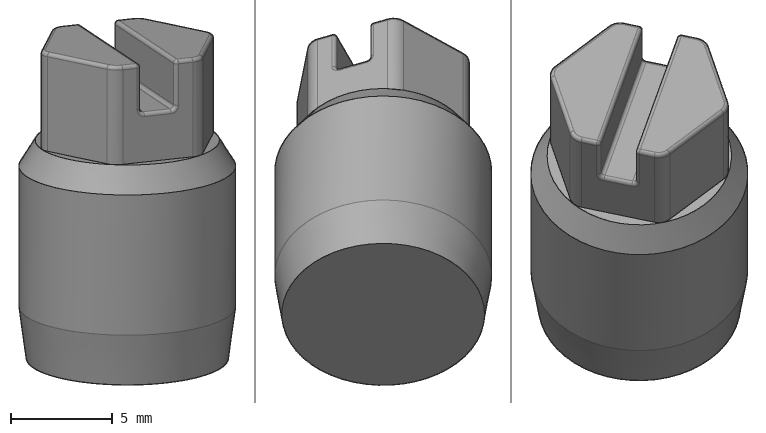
import cadquery as cq
import math

total_height = 16.11
body_radius = 5.33
shoulder_radius = 4.53
base_radius = 4.98
taper_height = 2.65
chamfer_start = 9.8
hex_height = 5.01
shoulder_height = total_height - hex_height

hex_sides = 6
across_flats = 8.0
corner_rounding = 0.79
edge_rounding = 0.2

slot_width = 1.8
slot_depth = 2.5
slot_floor = total_height - slot_depth


def make_body():
    """Revolve the body: tapered base, straight barrel and conical shoulder."""
    return (
        cq.Workplane("XZ")
        .moveTo(0, 0)
        .lineTo(base_radius, 0)
        .lineTo(body_radius, taper_height)
        .lineTo(body_radius, chamfer_start)
        .lineTo(shoulder_radius, shoulder_height)
        .lineTo(0, shoulder_height)
        .close()
        .revolve(360, (0, 0), (0, 1))
    )


def make_head():
    """Hexagonal head with flats facing X, rounded corners and a rounded slot."""
    across_corners = across_flats / math.cos(math.pi / hex_sides)
    head = (
        cq.Workplane("XY", origin=(0, 0, shoulder_height))
        .transformed(rotate=(0, 0, 90))
        .polygon(hex_sides, across_corners)
        .extrude(hex_height)
        .edges("|Z")
        .fillet(corner_rounding)
    )
    slot = (
        cq.Workplane("XY", origin=(0, 0, slot_floor))
        .box(2 * across_flats, slot_width, 2 * slot_depth, centered=(True, True, False))
        .edges("|X and <Z")
        .fillet(edge_rounding)
    )
    head = head.cut(slot)

    mouth_reach = slot_width / 2 + edge_rounding
    slot_mouths = cq.selectors.BoxSelector(
        (-across_flats, -mouth_reach, slot_floor - edge_rounding),
        (across_flats, mouth_reach, total_height - edge_rounding),
    )
    mouth_edges = head.faces("<X or >X").edges(slot_mouths)
    return head.faces(">Z").edges().add(mouth_edges).fillet(edge_rounding)


result = make_body().union(make_head())